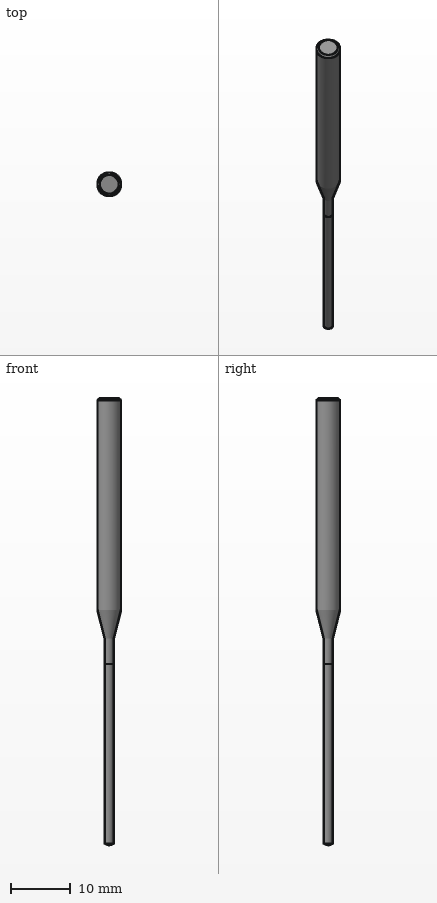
import cadquery as cq

TOTAL_LENGTH = 75.0
SHANK_RADIUS = 4.0 / 2
STEM_RADIUS = 1.6 / 2

TIP_HEIGHT = 0.3
CUTTER_TOP = 30.4
NECK_TOP = 34.65
TAPER_TOP = 39.45

END_BEVEL = 0.4


def turned_body(profile):
    """Revolve a closed (radius, height) profile about Z."""
    return cq.Workplane("XZ").polyline(profile).close().revolve(360, (0, 0), (0, 1))


def make_cutter():
    """Straight cutting length with a shallow conical point."""
    return turned_body([
        (0, 0),
        (STEM_RADIUS, TIP_HEIGHT),
        (STEM_RADIUS, CUTTER_TOP),
        (0, CUTTER_TOP),
    ])


def make_shank():
    """Neck, taper and cylindrical shank, resting on the flat top of the cutter."""
    return turned_body([
        (0, CUTTER_TOP),
        (STEM_RADIUS, CUTTER_TOP),
        (STEM_RADIUS, NECK_TOP),
        (SHANK_RADIUS, TAPER_TOP),
        (SHANK_RADIUS, TOTAL_LENGTH - END_BEVEL),
        (SHANK_RADIUS - END_BEVEL, TOTAL_LENGTH),
        (0, TOTAL_LENGTH),
    ])


cutter = make_cutter()
shank = make_shank()

result = cq.Compound.makeCompound([cutter.val(), shank.val()])